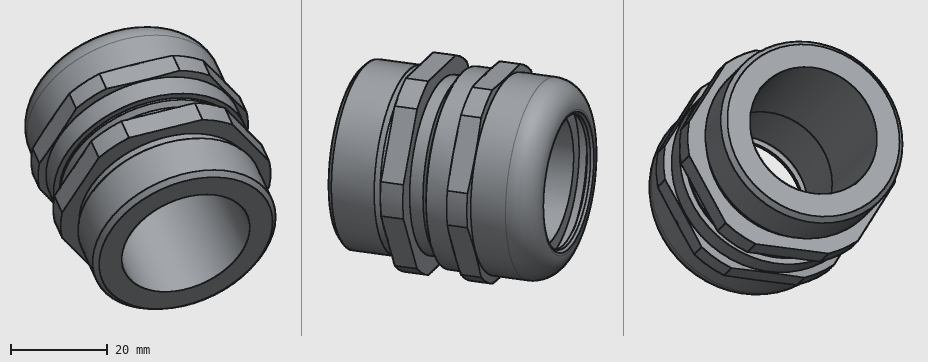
import cadquery as cq
import math


total_length = 46.0
bore_radius = 14.0

hex_across_flats = 43.0
hex_corner_radius = 22.95

cap_radius = 21.3
cap_end = 23.45
dome_radius = 6.0
mouth_radius = 14.75
throat_radius = 14.2
flare_depth = 0.55
cap_hex_start = 13.6
cap_hex_end = 18.55
cap_hex_bevel = 0.25
cap_hex_bevel_radius = 21.3

thread_radius = 20.0
neck_radius = 18.95
rim_start = 3.0
rim_outer_radius = 18.6
funnel_radius = 18.4
thread_chamfer = thread_radius - neck_radius
rear_chamfer_length = 0.9
front_thread_end = 25.05
body_hex_start = 28.0
body_hex_end = 33.0
rear_thread_start = 34.55

seal_front = 4.2
seal_end = 18.7
seal_radius = 17.2

dome_center_radius = cap_radius - dome_radius
cap_wall = cap_radius - thread_radius
cavity_round = dome_radius - cap_wall
front_thread_start = dome_radius


def arc_middle(round_radius):
    """Middle point of a quarter round about the dome centre circle."""
    offset = round_radius * math.sqrt(0.5)
    return (dome_radius - offset, dome_center_radius + offset)


def turned(profile):
    """Revolve a closed (x, radius) outline about the X axis."""
    return profile.close().revolve(360, (0, 0, 0), (1, 0, 0))


def tube(start, end, outer, inner):
    ring = cq.Workplane("YZ", origin=(start, 0, 0)).circle(outer).circle(inner)
    return ring.extrude(end - start)


def hexagon(start, end, inner):
    """Hexagonal ring with flats at +Z and -Z and turned-down corners."""
    corner_diameter = hex_across_flats / math.cos(math.pi / 6)
    prism = cq.Workplane("YZ", origin=(start, 0, 0)).polygon(6, corner_diameter).extrude(end - start)
    return prism.intersect(tube(start, end, hex_corner_radius, inner))


def make_cap():
    shell = turned(
        cq.Workplane("XY")
        .moveTo(0, mouth_radius)
        .lineTo(0, dome_center_radius)
        .threePointArc(arc_middle(dome_radius), (dome_radius, cap_radius))
        .lineTo(cap_end, cap_radius)
        .lineTo(cap_end, thread_radius)
        .lineTo(dome_radius, thread_radius)
        .threePointArc(arc_middle(cavity_round), (cap_wall, dome_center_radius))
        .lineTo(cap_wall, throat_radius)
        .lineTo(flare_depth, throat_radius)
    )
    bevel_limits = turned(
        cq.Workplane("XY")
        .moveTo(cap_hex_start, thread_radius)
        .lineTo(cap_hex_start, cap_hex_bevel_radius)
        .lineTo(cap_hex_start + cap_hex_bevel, hex_corner_radius)
        .lineTo(cap_hex_end - cap_hex_bevel, hex_corner_radius)
        .lineTo(cap_hex_end, cap_hex_bevel_radius)
        .lineTo(cap_hex_end, thread_radius)
    )
    grip = hexagon(cap_hex_start, cap_hex_end, thread_radius).intersect(bevel_limits)
    return shell.union(grip)


def make_body():
    barrel = turned(
        cq.Workplane("XY")
        .moveTo(seal_front, seal_radius)
        .lineTo(rim_start, funnel_radius)
        .lineTo(rim_start, rim_outer_radius)
        .lineTo(front_thread_start, thread_radius)
        .lineTo(front_thread_end - thread_chamfer, thread_radius)
        .lineTo(front_thread_end, neck_radius)
        .lineTo(rear_thread_start, neck_radius)
        .lineTo(rear_thread_start + rear_chamfer_length, thread_radius)
        .lineTo(total_length - thread_chamfer, thread_radius)
        .lineTo(total_length, neck_radius)
        .lineTo(total_length, bore_radius)
        .lineTo(seal_end, bore_radius)
        .lineTo(seal_end, seal_radius)
    )
    return barrel.union(hexagon(body_hex_start, body_hex_end, bore_radius))


def make_seal():
    return tube(seal_front, seal_end, seal_radius, bore_radius)


cap = make_cap()
body = make_body()
seal = make_seal()

result = cq.Compound.makeCompound([cap.val(), body.val(), seal.val()])